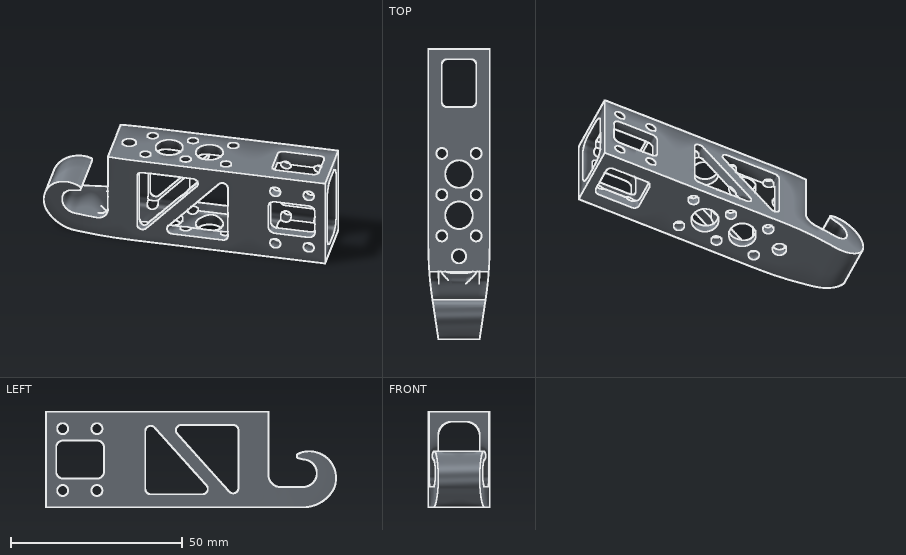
import cadquery as cq
import math

LENGTH = 84.7
WIDTH = 18.0
HEIGHT = 28.0
FRAME_LENGTH = 65.0
WALL = 3.0
TUNNEL_RADIUS = 4.0

TAPER_START = 57.7
TAPER_LENGTH = 14.8
TAPER_RADIUS = 100.0
TIP_CLEARANCE = 1.7

TONGUE_TOP = 6.0
MOUTH_RADIUS = 3.5
THROAT_CENTER = 75.1
THROAT_RADIUS = 4.0
BEND_START = 74.9
NOSE_RADIUS = 7.9
NOSE_CENTER_HEIGHT = 8.6
NOSE_JOINT_HEIGHT = 5.5
LIP_CREST = 74.65
LIP_UNDERSIDE = (73.8, 14.3)
LIP_END = (73.2, 15.0)
LIP_TOP = (73.8, 15.8)

WINDOW_START = 3.05
WINDOW_END = 16.95
SIDE_WINDOW_HEIGHT = 11.0
TOP_WINDOW_WIDTH = 10.0
SIDE_WINDOW_RADIUS = 1.95
TOP_WINDOW_RADIUS = 1.5

SCREW_DIAMETER = 3.1
SIDE_SCREW_POSITIONS = (4.9, 14.9)
SIDE_SCREW_SPACING = 18.05
TOP_SCREW_SPACING = 10.0
TOP_SCREW_PITCH = 12.0
FIRST_TOP_SCREW = 30.5
TOP_SCREW_ROWS = 3
BORE_DIAMETER = 8.0
FRONT_HOLE_DIAMETER = 4.1
FRONT_HOLE_POSITION = 60.5

TRUSS_START = 29.1
TRUSS_END = 56.2
TRUSS_HEIGHT = 20.2
TRIANGLE_LENGTH = 20.1
TRIANGLE_HEIGHT = 22.4
TRIANGLE_RADIUS = 1.5

SIDE_PLANE = cq.Plane(origin=(0, 0, 0), xDir=(0, -1, 0), normal=(-1, 0, 0))


def through_sides(sketch):
    return sketch.extrude(WIDTH, both=True)


def through_height(sketch):
    return sketch.extrude(HEIGHT)


def side_profile():
    """Frame and hook outline seen from the side."""
    throat_z = TONGUE_TOP + THROAT_RADIUS
    mouth_inset = MOUTH_RADIUS * (1 - math.sqrt(0.5))
    nose_y = LENGTH - NOSE_RADIUS
    joint_y = nose_y + math.sqrt(NOSE_RADIUS**2 - (NOSE_CENTER_HEIGHT - NOSE_JOINT_HEIGHT) ** 2)
    crest_z = NOSE_CENTER_HEIGHT + math.sqrt(NOSE_RADIUS**2 - (nose_y - LIP_CREST) ** 2)
    reach = joint_y - BEND_START
    bend_radius = (reach**2 + NOSE_JOINT_HEIGHT**2) / (2 * NOSE_JOINT_HEIGHT)
    half_bend = math.atan2(reach, bend_radius - NOSE_JOINT_HEIGHT) / 2
    bend_middle = (
        BEND_START + bend_radius * math.sin(half_bend),
        bend_radius * (1 - math.cos(half_bend)),
    )
    outline = (
        cq.Workplane(SIDE_PLANE)
        .moveTo(0, 0)
        .lineTo(BEND_START, 0)
        .threePointArc(bend_middle, (joint_y, NOSE_JOINT_HEIGHT))
        .threePointArc((LENGTH, NOSE_CENTER_HEIGHT), (LIP_CREST, crest_z))
        .lineTo(*LIP_TOP)
        .threePointArc(LIP_END, LIP_UNDERSIDE)
        .lineTo(THROAT_CENTER, throat_z + THROAT_RADIUS)
        .threePointArc((THROAT_CENTER + THROAT_RADIUS, throat_z), (THROAT_CENTER, TONGUE_TOP))
        .lineTo(FRAME_LENGTH + MOUTH_RADIUS, TONGUE_TOP)
        .threePointArc(
            (FRAME_LENGTH + mouth_inset, TONGUE_TOP + mouth_inset),
            (FRAME_LENGTH, TONGUE_TOP + MOUTH_RADIUS),
        )
        .lineTo(FRAME_LENGTH, HEIGHT)
        .lineTo(0, HEIGHT)
        .close()
    )
    return through_sides(outline)


def plan_profile():
    """Plan outline, narrowing toward the hook and running on past its tip."""
    flank_angle = math.asin(TAPER_LENGTH / TAPER_RADIUS)

    def half_width_on_arc(angle):
        return WIDTH / 2 - TAPER_RADIUS * (1 - math.cos(angle))

    arc_middle_y = -TAPER_START - TAPER_RADIUS * math.sin(flank_angle / 2)
    arc_end_y = -TAPER_START - TAPER_LENGTH
    arc_middle_x = half_width_on_arc(flank_angle / 2)
    arc_end_x = half_width_on_arc(flank_angle)
    tip_y = -LENGTH - TIP_CLEARANCE
    tip_x = arc_end_x - (arc_end_y - tip_y) * math.tan(flank_angle)
    outline = (
        cq.Workplane("XY")
        .moveTo(-WIDTH / 2, 0)
        .lineTo(-WIDTH / 2, -TAPER_START)
        .threePointArc((-arc_middle_x, arc_middle_y), (-arc_end_x, arc_end_y))
        .lineTo(-tip_x, tip_y)
        .lineTo(tip_x, tip_y)
        .lineTo(arc_end_x, arc_end_y)
        .threePointArc((arc_middle_x, arc_middle_y), (WIDTH / 2, -TAPER_START))
        .lineTo(WIDTH / 2, 0)
        .close()
    )
    return through_height(outline)


def tunnel():
    """Rounded passage along the frame, rising over the rolled root of the tongue."""
    width = WIDTH - 2 * WALL
    roll_radius = TONGUE_TOP - WALL
    tongue_start = FRAME_LENGTH + MOUTH_RADIUS
    flat = width / 2 - TUNNEL_RADIUS
    bore = (
        cq.Workplane("XZ")
        .center(0, HEIGHT / 2)
        .rect(width, HEIGHT - 2 * WALL)
        .extrude(tongue_start)
        .edges("|Y")
        .fillet(TUNNEL_RADIUS)
    )
    rim = roll_radius + TUNNEL_RADIUS
    corner = TUNNEL_RADIUS * math.sqrt(0.5)
    root = (
        cq.Workplane("XY", origin=(0, -tongue_start, WALL))
        .moveTo(-width / 2, 0)
        .lineTo(-width / 2, rim)
        .threePointArc((-flat - corner, rim - corner), (-flat, roll_radius))
        .lineTo(flat, roll_radius)
        .threePointArc((flat + corner, rim - corner), (width / 2, rim))
        .lineTo(width / 2, 0)
        .close()
        .revolve(360, (0, 0), (1, 0))
    )
    below_tongue_top = cq.Workplane("XY", origin=(0, -tongue_start, 0)).box(
        width, 2 * rim, TONGUE_TOP, centered=(True, True, False)
    )
    return bore.cut(root.intersect(below_tongue_top))


def windows():
    length = WINDOW_END - WINDOW_START
    middle = (WINDOW_START + WINDOW_END) / 2
    side = through_sides(
        cq.Workplane(SIDE_PLANE).center(middle, HEIGHT / 2).rect(length, SIDE_WINDOW_HEIGHT)
    )
    top = through_height(cq.Workplane("XY").center(0, -middle).rect(TOP_WINDOW_WIDTH, length))
    return side.edges("|X").fillet(SIDE_WINDOW_RADIUS).union(
        top.edges("|Z").fillet(TOP_WINDOW_RADIUS)
    )


def side_holes():
    half = SIDE_SCREW_SPACING / 2
    centers = [(y, HEIGHT / 2 + dz) for y in SIDE_SCREW_POSITIONS for dz in (-half, half)]
    return through_sides(cq.Workplane(SIDE_PLANE).pushPoints(centers).circle(SCREW_DIAMETER / 2))


def top_holes():
    half = TOP_SCREW_SPACING / 2
    rows = [-FIRST_TOP_SCREW - TOP_SCREW_PITCH * row for row in range(TOP_SCREW_ROWS)]
    screws = [(x, y) for y in rows for x in (-half, half)]
    bores = [(0, y - TOP_SCREW_PITCH / 2) for y in rows[:-1]]
    plane = cq.Workplane("XY")
    return (
        through_height(plane.pushPoints(screws).circle(SCREW_DIAMETER / 2))
        .union(through_height(plane.pushPoints(bores).circle(BORE_DIAMETER / 2)))
        .union(through_height(plane.center(0, -FRONT_HOLE_POSITION).circle(FRONT_HOLE_DIAMETER / 2)))
    )


def truss_openings():
    """Two right triangles, each the half-turn image of the other."""
    middle = (TRUSS_START + TRUSS_END) / 2
    corner_y = (TRUSS_END - TRUSS_START) / 2
    corner_z = TRUSS_HEIGHT / 2
    openings = cq.Workplane("XY")
    for turn in (-1, 1):
        triangle = (
            cq.Workplane(SIDE_PLANE)
            .center(middle, HEIGHT / 2)
            .moveTo(turn * corner_y, turn * corner_z)
            .lineTo(turn * (corner_y - TRIANGLE_LENGTH), turn * corner_z)
            .lineTo(turn * corner_y, turn * (corner_z - TRIANGLE_HEIGHT))
            .close()
        )
        openings = openings.union(through_sides(triangle).edges("|X").fillet(TRIANGLE_RADIUS))
    return openings


body = side_profile().intersect(plan_profile())
for cutter in (tunnel(), windows(), side_holes(), top_holes(), truss_openings()):
    body = body.cut(cutter)
result = body